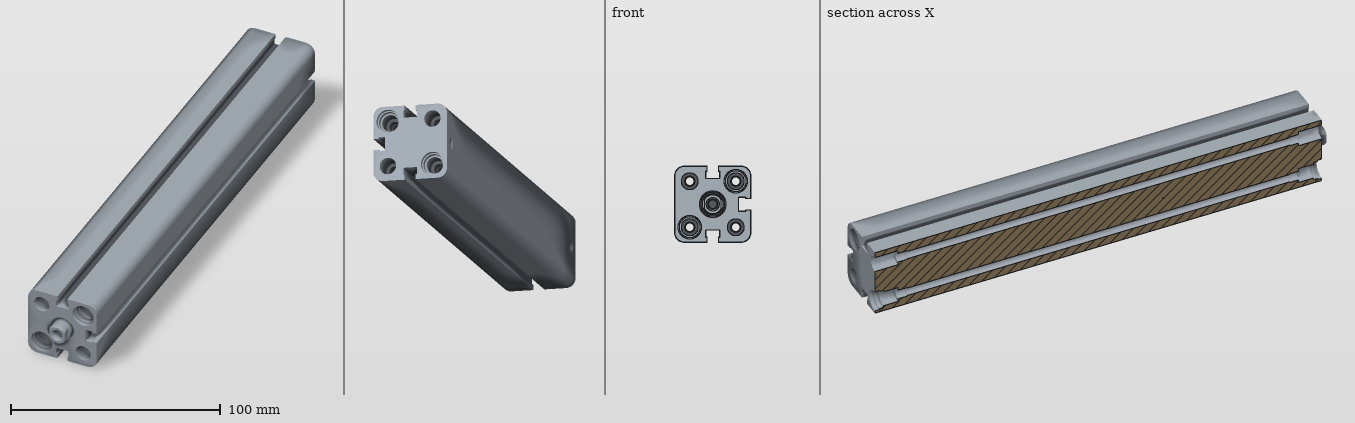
import cadquery as cq

side = 36.3
total_length = 243.5
rod_reach = 6.0
body_length = total_length - rod_reach
corner_radius = 4.6

rod_tip = -total_length / 2
front_face = rod_tip + rod_reach
back_face = total_length / 2
body_middle = (front_face + back_face) / 2

backward = cq.Vector(0, 1, 0)
forward = cq.Vector(0, -1, 0)
inward = cq.Vector(1, 0, 0)

slot_opening = 5.4
slot_width = 6.5
slot_depth = 5.8
slot_lip = 2.5
slot_angles = (0, 90, 180)

hole_offset = 11.0
hole_diameter = 4.1
plain_steps = [(4.9, 17.0), (8.0, 12.2)]
socket_steps = plain_steps + [(10.0, 4.5), (11.2, 2.2)]

rod_diameter = 10.0
rod_chamfer_width = 0.5
rod_chamfer_length = 1.0
rod_across_flats = 8.0
rod_flat_length = 4.0
rod_hole_steps = [(4.1, 14.5), (4.9, 12.2)]
rod_countersink_diameter = 6.3

recess_diameter = 11.5
recess_depth = 1.5
recess_mouth_diameter = 12.7

port_inset = 7.8
port_steps = [(1.75, 6.3), (4.1, 4.9), (4.9, 3.0)]
port_mouth_diameter = 5.5


def cylinder(diameter, length, start, direction):
    return cq.Workplane(obj=cq.Solid.makeCylinder(diameter / 2, length, start, direction))


def stepped_hole(steps, start, direction):
    """Cutter made of coaxial cylinders that all begin at the start point."""
    cutter = cq.Workplane("XY")
    for diameter, depth in steps:
        cutter = cutter.union(cylinder(diameter, depth, start, direction))
    return cutter


def countersink(mouth_diameter, hole_diameter, start, direction):
    """45 degree cone cutter that narrows from the mouth to the hole."""
    depth = (mouth_diameter - hole_diameter) / 2
    cone = cq.Solid.makeCone(mouth_diameter / 2, hole_diameter / 2, depth, start, direction)
    return cq.Workplane(obj=cone)


def make_slot():
    """T-slot cutter for the +Z face."""
    top = side / 2
    chamber_height = slot_depth - slot_lip
    mouth = cq.Workplane("XY").box(slot_opening, body_length, slot_depth)
    mouth = mouth.translate((0, body_middle, top - slot_depth / 2))
    chamber = cq.Workplane("XY").box(slot_width, body_length, chamber_height)
    chamber = chamber.translate((0, body_middle, top - slot_depth + chamber_height / 2))
    return mouth.union(chamber)


def cut_corner_holes(body):
    for x_sign in (-1, 1):
        for z_sign in (-1, 1):
            x = x_sign * hole_offset
            z = z_sign * hole_offset
            front_start = cq.Vector(x, front_face, z)
            back_start = cq.Vector(x, back_face, z)
            steps = socket_steps if x_sign == z_sign else plain_steps
            body = body.cut(cylinder(hole_diameter, body_length, front_start, backward))
            body = body.cut(stepped_hole(steps, front_start, backward))
            body = body.cut(stepped_hole(steps, back_start, forward))
    return body


def cut_ports(body):
    port_diameter = port_steps[-1][0]
    for y in (front_face + port_inset, back_face - port_inset):
        start = cq.Vector(-side / 2, y, 0)
        body = body.cut(stepped_hole(port_steps, start, inward))
        body = body.cut(countersink(port_mouth_diameter, port_diameter, start, inward))
    return body


def make_rod():
    """Rod from its tip to the floor of the recess."""
    tip_radius = rod_diameter / 2 - rod_chamfer_width
    shoulder_y = rod_tip + rod_chamfer_length
    shaft_length = rod_reach + recess_depth - rod_chamfer_length
    tip = cq.Vector(0, rod_tip, 0)
    chamfer = cq.Solid.makeCone(tip_radius, rod_diameter / 2, rod_chamfer_length, tip, backward)
    shaft = cylinder(rod_diameter, shaft_length, cq.Vector(0, shoulder_y, 0), backward)
    rod = shaft.union(cq.Workplane(obj=chamfer))
    for x_sign in (-1, 1):
        flat_cutter = cq.Workplane("XY").box(rod_diameter, rod_flat_length, side)
        x = x_sign * (rod_across_flats + rod_diameter) / 2
        rod = rod.cut(flat_cutter.translate((x, rod_tip + rod_flat_length / 2, 0)))
    return rod


def cut_rod_hole(part):
    tip = cq.Vector(0, rod_tip, 0)
    thread_diameter = rod_hole_steps[-1][0]
    part = part.cut(stepped_hole(rod_hole_steps, tip, backward))
    return part.cut(countersink(rod_countersink_diameter, thread_diameter, tip, backward))


barrel = cq.Workplane("XY").box(side, body_length, side).edges("|Y").fillet(corner_radius)
barrel = barrel.translate((0, body_middle, 0))
for angle in slot_angles:
    barrel = barrel.cut(make_slot().rotate((0, 0, 0), (0, 1, 0), angle))

barrel = cut_corner_holes(barrel)
barrel = cut_ports(barrel)

recess_start = cq.Vector(0, front_face, 0)
barrel = barrel.cut(cylinder(recess_diameter, recess_depth, recess_start, backward))
barrel = barrel.cut(countersink(recess_mouth_diameter, recess_diameter, recess_start, backward))

result = cut_rod_hole(barrel.union(make_rod()))